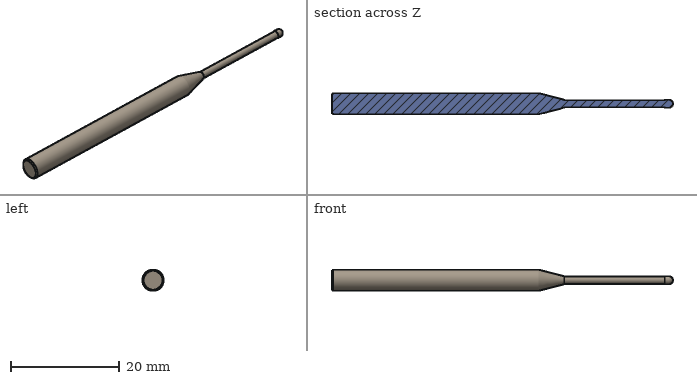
import cadquery as cq
import math

overall_length = 63.0
shank_diameter = 4.0
shank_length = 38.2
shank_chamfer = 0.25
taper_length = 4.7
taper_end_diameter = 1.5
neck_diameter = 1.4
head_diameter = 1.5
head_length = 1.5

shank_radius = shank_diameter / 2
neck_radius = neck_diameter / 2
head_radius = head_diameter / 2
taper_end = shank_length + taper_length
head_start = overall_length - head_length
ball_center = overall_length - head_radius
ball_midpoint = head_radius * math.cos(math.pi / 4)

profile = (
    cq.Workplane("XY")
    .moveTo(0, 0)
    .lineTo(0, shank_radius - shank_chamfer)
    .lineTo(shank_chamfer, shank_radius)
    .lineTo(shank_length, shank_radius)
    .lineTo(taper_end, taper_end_diameter / 2)
    .lineTo(taper_end, neck_radius)
    .lineTo(head_start, neck_radius)
    .lineTo(head_start, head_radius)
    .lineTo(ball_center, head_radius)
    .threePointArc((ball_center + ball_midpoint, ball_midpoint), (overall_length, 0))
    .close()
)

result = profile.revolve(360, (0, 0, 0), (1, 0, 0))